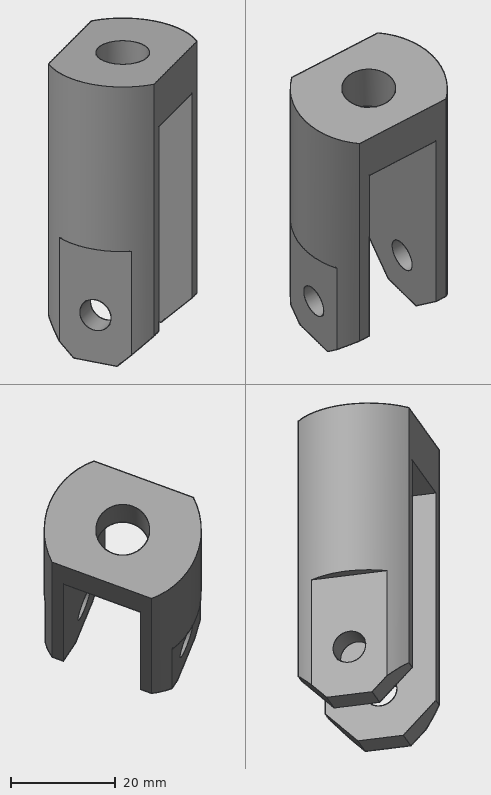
import cadquery as cq

height = 60.0
diameter = 30.0
width = 22.0

slot_width = 15.8
bridge_thickness = 10.0

shank_bore_diameter = 10.25
pin_bore_diameter = 6.5
pin_height = 10.0

flat_height = 25.0
across_flats = 26.0

tip_chamfer = 6.5


def make_body():
    """Round bar trimmed to the width, with chamfered lower corners."""
    bar = cq.Workplane("XY").circle(diameter / 2).extrude(height)
    envelope = (
        cq.Workplane("XY")
        .box(width, diameter, height, centered=(True, True, False))
        .edges("|Y and <Z")
        .chamfer(tip_chamfer)
    )
    return bar.intersect(envelope)


def make_slot():
    """Gap between the two fork arms."""
    slot_depth = height - bridge_thickness
    return cq.Workplane("XY").box(width, slot_width, slot_depth, centered=(True, True, False))


def make_flat_cutter(side):
    """Block that flattens the lower outer face of the arm on one side of Y."""
    depth = (diameter - across_flats) / 2
    center_y = side * (across_flats + depth) / 2
    return (
        cq.Workplane("XY")
        .center(0, center_y)
        .box(width, depth, flat_height, centered=(True, True, False))
    )


def make_shank_bore():
    """Vertical bore through the bridge."""
    return cq.Workplane("XY").circle(shank_bore_diameter / 2).extrude(height)


def make_pin_bore():
    """Cross bore through both arms along Y."""
    return (
        cq.Workplane("XZ")
        .center(0, pin_height)
        .circle(pin_bore_diameter / 2)
        .extrude(diameter / 2, both=True)
    )


result = make_body().cut(make_slot())
for side in (-1, 1):
    result = result.cut(make_flat_cutter(side))
result = result.cut(make_shank_bore()).cut(make_pin_bore())